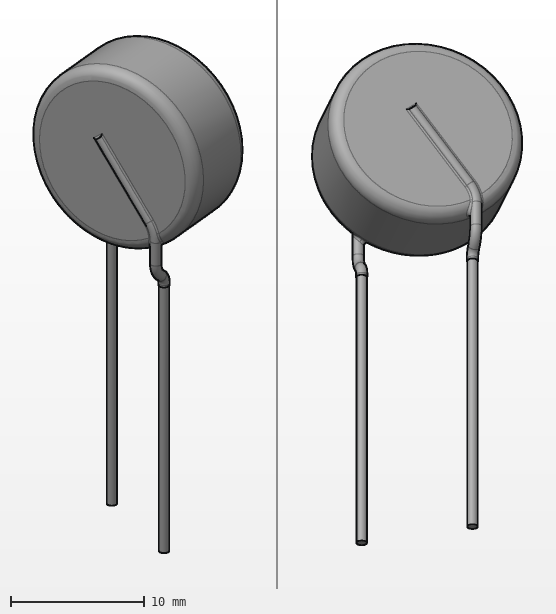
import cadquery as cq
import math

disc_diameter = 15.0
disc_thickness = 7.2
rim_fillet = 1.0

overall_height = 40.0
overall_depth = 7.7
coat_diameter = 0.9
coat_blend_radius = 0.2
coat_end_rounding = 0.1
pin_diameter = 0.8
lead_x = 3.75
pin_y = 2.25
coat_y = (overall_depth - coat_diameter) / 2
pin_bottom_z = disc_diameter / 2 - overall_height

slant_angle = math.radians(37)
slant_tip_z = 1.6
face_bend_radius = 2.5
face_bend_bottom_z = -5.8

s_bend_top_z = -7.7
upper_bend_radius = 1.6
lower_bend_radius = 0.95
coat_collar_length = 0.25
s_bend_angle = math.acos(1 - (coat_y - pin_y) / (upper_bend_radius + lower_bend_radius))
s_bend_bottom_z = s_bend_top_z - (upper_bend_radius + lower_bend_radius) * math.sin(s_bend_angle)
coat_bottom_z = s_bend_bottom_z - coat_collar_length

contact_tolerance = 0.0005


def make_disc():
    """Disc with rounded rims."""
    disc = cq.Workplane("XZ", origin=(0, disc_thickness / 2, 0))
    disc = disc.circle(disc_diameter / 2).extrude(disc_thickness)
    return disc.edges().fillet(rim_fillet)


def face_bend_point(angle):
    """Point on the bend across the disc face, after turning by angle from vertical."""
    x = lead_x - face_bend_radius * (1 - math.cos(angle))
    z = face_bend_bottom_z + face_bend_radius * math.sin(angle)
    return cq.Vector(x, -coat_y, z)


def upper_bend_point(angle):
    """Point on the outer half of the S-bend, after turning by angle from vertical."""
    y = -coat_y + upper_bend_radius * (1 - math.cos(angle))
    z = s_bend_top_z - upper_bend_radius * math.sin(angle)
    return cq.Vector(lead_x, y, z)


def lower_bend_point(angle):
    """Point on the inner half of the S-bend, where angle is the turn left to vertical."""
    y = -pin_y - lower_bend_radius * (1 - math.cos(angle))
    z = s_bend_bottom_z + lower_bend_radius * math.sin(angle)
    return cq.Vector(lead_x, y, z)


def make_coated_wire():
    """Front coated wire, swept from its tip on the disc face down to its rounded lower end."""
    slant_start = face_bend_point(slant_angle)
    slant_rise = slant_tip_z - slant_start.z
    slant_tip = slant_start + cq.Vector(-slant_rise * math.tan(slant_angle), 0, slant_rise)
    face_bend_bottom = face_bend_point(0)
    s_bend_top = upper_bend_point(0)
    s_bend_middle = upper_bend_point(s_bend_angle)
    s_bend_bottom = lower_bend_point(0)
    coat_bottom = cq.Vector(lead_x, -pin_y, coat_bottom_z)

    path = cq.Wire.assembleEdges([
        cq.Edge.makeLine(slant_tip, slant_start),
        cq.Edge.makeThreePointArc(slant_start, face_bend_point(slant_angle / 2), face_bend_bottom),
        cq.Edge.makeLine(face_bend_bottom, s_bend_top),
        cq.Edge.makeThreePointArc(s_bend_top, upper_bend_point(s_bend_angle / 2), s_bend_middle),
        cq.Edge.makeThreePointArc(s_bend_middle, lower_bend_point(s_bend_angle / 2), s_bend_bottom),
        cq.Edge.makeLine(s_bend_bottom, coat_bottom),
    ])
    tip_plane = cq.Plane(origin=slant_tip, xDir=(0, 1, 0), normal=slant_start - slant_tip)
    coat = cq.Workplane(tip_plane).circle(coat_diameter / 2).sweep(path)
    return coat.faces("<Z").edges().fillet(coat_end_rounding)


def make_pin():
    """Bare front pin, reaching up inside the straight collar of the coat."""
    pin = cq.Workplane("XY", origin=(lead_x, -pin_y, pin_bottom_z))
    return pin.circle(pin_diameter / 2).extrude(s_bend_bottom_z - pin_bottom_z)


def seam_edges(joined, first, second):
    """Edges of the joined solid whose midpoints lie on the skins of both original parts."""
    skins = [part.val().Shells()[0] for part in (first, second)]
    edges = []
    for edge in joined.edges().vals():
        midpoint = cq.Vertex.makeVertex(*edge.positionAt(0.5).toTuple())
        if all(skin.distance(midpoint) < contact_tolerance for skin in skins):
            edges.append(edge)
    return edges


def add_coated_wire(body, wire):
    """Join a wire to the body and blend the line where they meet."""
    joined = body.union(wire)
    return joined.newObject(seam_edges(joined, body, wire)).fillet(coat_blend_radius)


def half_turn(part):
    """Turn a front part about the vertical axis into its rear twin."""
    return part.rotate((0, 0, 0), (0, 0, 1), 180)


coated_wire = make_coated_wire()
pin = make_pin()
body = make_disc()
for wire in (coated_wire, half_turn(coated_wire)):
    body = add_coated_wire(body, wire)
for lead_pin in (pin, half_turn(pin)):
    body = body.union(lead_pin)
result = body